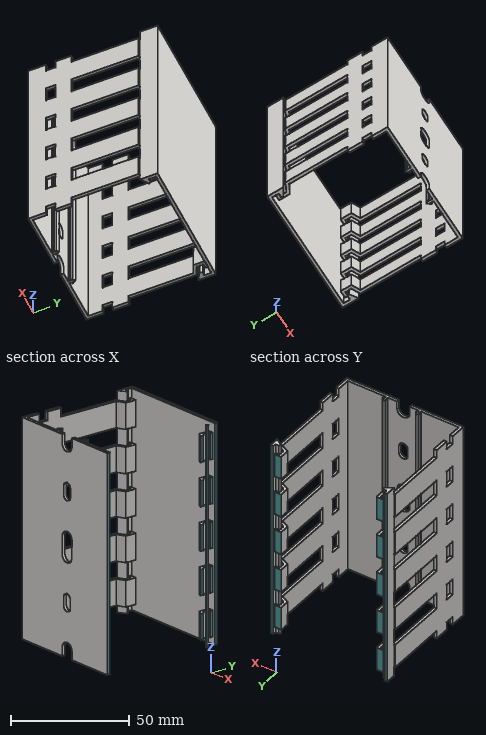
import cadquery as cq

width = 60.0
depth = 60.0
length = 100.0
wall = 1.5
mid_x = width / 2

hook_top_y = 57.5
hook_gap = 0.5
hook_face_x = 5.5
shoulder_outer_y = 51.0
shoulder_inner_y = 50.1
shoulder_rise = 2.0

skirt_end_y = 51.8
bead_top_y = 55.3
bead_flat_x = 3.2
bead_tip_x = 3.8
bead_tip_y = 54.3

finger_count = 5
slot_pitch = length / finger_count
slot_height = 8.0
slot_count = finger_count + 1
finger_root_y = 20.0
window_low_y = 8.1
window_high_y = 12.6

large_slot_width = 6.5
large_slot_length = 14.0
small_slot_width = 4.5
small_slot_length = 8.0
mount_pitch = length / 4

rib_offset = 8.5
rib_stem_half = 0.6
rib_barb_half = 1.2
rib_tip_y = 4.7
rib_barb_top_y = 3.0
rib_barb_low_y = 2.6
rib_throat_y = 3.5


def mirrored_section(left_points):
    """Close a left-half XY section with its mirror image and extrude it along Z."""
    right_points = [(width - x, y) for x, y in reversed(left_points)]
    return cq.Workplane("XY").polyline(left_points + right_points).close().extrude(length)


def duct_channel():
    """U-shaped channel with hooked side walls."""
    hook_end_x = wall + hook_gap
    hook_back_x = hook_face_x - wall
    return mirrored_section([
        (0, 0),
        (0, shoulder_outer_y),
        (hook_back_x, shoulder_outer_y + shoulder_rise),
        (hook_back_x, hook_top_y - wall),
        (hook_end_x, hook_top_y - wall),
        (hook_end_x, hook_top_y),
        (hook_face_x, hook_top_y),
        (hook_face_x, shoulder_inner_y + shoulder_rise),
        (wall, shoulder_inner_y),
        (wall, wall),
    ])


def floor_rib(center_x):
    """Arrow-headed rib standing on the floor."""
    right_side = [
        (rib_stem_half, wall),
        (rib_stem_half, rib_throat_y),
        (rib_barb_half, rib_barb_low_y),
        (rib_barb_half, rib_barb_top_y),
    ]
    left_side = [(-x, y) for x, y in reversed(right_side)]
    outline = right_side + [(0, rib_tip_y)] + left_side
    return (
        cq.Workplane("XY")
        .polyline([(center_x + x, y) for x, y in outline])
        .close()
        .extrude(length)
    )


def wall_slots(low_y, high_y):
    """Row of cuts through both side walls; the first and last are open at the duct ends."""
    centers = [((low_y + high_y) / 2, i * slot_pitch) for i in range(slot_count)]
    return (
        cq.Workplane("YZ")
        .pushPoints(centers)
        .rect(high_y - low_y, slot_height)
        .extrude(width)
    )


def floor_slots(slot_length, slot_width, heights):
    """Round-ended slots through the floor at the given heights."""
    return (
        cq.Workplane("XZ")
        .pushPoints([(mid_x, z) for z in heights])
        .slot2D(slot_length, slot_width, 90)
        .extrude(-wall)
    )


def make_duct():
    duct = duct_channel()
    for side in (-1, 1):
        duct = duct.union(floor_rib(mid_x + side * rib_offset))
    duct = duct.cut(wall_slots(finger_root_y, depth))
    duct = duct.cut(wall_slots(window_low_y, window_high_y))
    large_heights = [0, 2 * mount_pitch, 4 * mount_pitch]
    small_heights = [mount_pitch, 3 * mount_pitch]
    duct = duct.cut(floor_slots(large_slot_length, large_slot_width, large_heights))
    return duct.cut(floor_slots(small_slot_length, small_slot_width, small_heights))


def make_lid():
    """Flat cover with two short skirts, each ending in an inward snap bead."""
    return mirrored_section([
        (0, depth),
        (0, skirt_end_y),
        (bead_tip_x, bead_tip_y),
        (bead_flat_x, bead_top_y),
        (wall, bead_top_y),
        (wall, depth - wall),
    ])


duct = make_duct()
lid = make_lid()

result = cq.Compound.makeCompound([duct.val(), lid.val()])